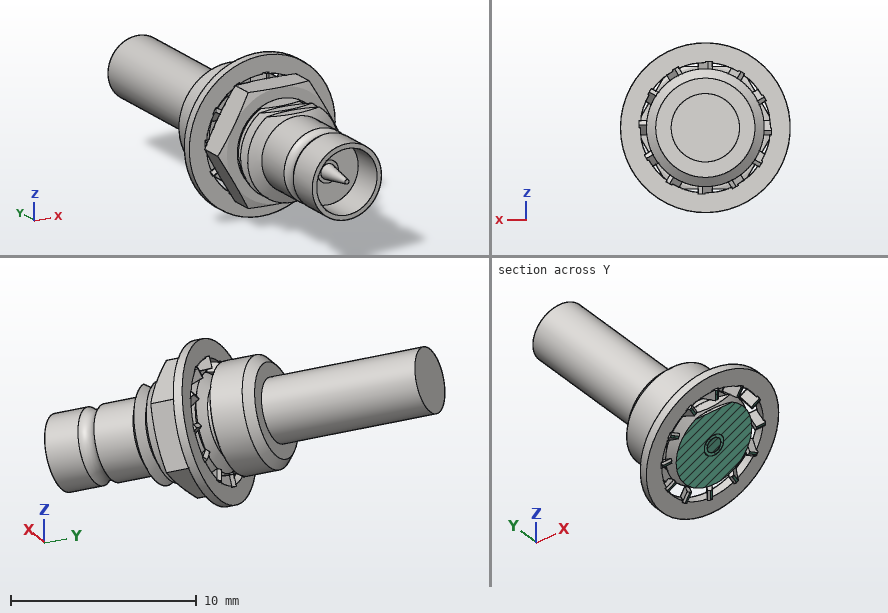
import cadquery as cq
import math


sleeve_radius = 2.17
socket_radius = 1.89
socket_depth = 1.98
groove_front = 2.0
groove_rear = 2.96
groove_bottom_radius = 1.95

thread_start = 5.30
thread_pitch = 0.745
thread_count = 6
thread_end = thread_start + thread_count * thread_pitch
thread_crest_radius = 2.83
thread_flat_height = 2.30

shoulder_radius = 2.57
shoulder_front = 10.15
collar_radius = 3.17
collar_front = 10.40
collar_rear = 12.83
collar_chamfer = 0.5
tube_radius = 1.84
total_length = 22.02

nut_front = 7.03
nut_rear = 8.68
nut_across_flats = 6.60
nut_corner_drop = 0.14
nut_bore_radius = 2.67

washer_radius = 4.57
washer_inner_radius = 3.50
washer_front = 8.89
washer_rear = 9.42
tooth_count = 12
tooth_inner_radius = 2.90
tooth_outer_radius = 3.57
tooth_width = 0.94
tooth_thickness = 0.28
tooth_twist = 55

pin_radius = 0.45
pin_tip_radius = 0.13
pin_tip_front = 0
insulator_radius = 0.65
insulator_rear = collar_front


def cylinder(radius, front, rear):
    """Solid cylinder on the Y axis between two Y positions."""
    return cq.Workplane("XZ", origin=(0, front, 0)).circle(radius).extrude(front - rear)


def make_housing():
    profile = (
        cq.Workplane("XY")
        .moveTo(0, 0)
        .lineTo(sleeve_radius, 0)
        .lineTo(sleeve_radius, groove_front)
        .threePointArc((groove_bottom_radius, (groove_front + groove_rear) / 2), (sleeve_radius, groove_rear))
        .lineTo(sleeve_radius, thread_start)
    )
    for turn in range(thread_count):
        ring_front = thread_start + turn * thread_pitch
        profile = (
            profile.lineTo(thread_crest_radius, ring_front + thread_pitch / 2)
            .lineTo(sleeve_radius, ring_front + thread_pitch)
        )
    profile = (
        profile.lineTo(sleeve_radius, shoulder_front)
        .lineTo(shoulder_radius, shoulder_front)
        .lineTo(shoulder_radius, collar_front)
        .lineTo(collar_radius, collar_front)
        .lineTo(collar_radius, collar_rear - collar_chamfer)
        .lineTo(collar_radius - collar_chamfer, collar_rear)
        .lineTo(tube_radius, collar_rear)
        .lineTo(tube_radius, total_length)
        .lineTo(0, total_length)
        .close()
    )
    body = profile.revolve(360, (0, 0, 0), (0, 1, 0))

    seat = cylinder(nut_bore_radius, nut_front, nut_rear)
    around_seat = cylinder(thread_crest_radius, nut_front, nut_rear).cut(seat)
    body = body.cut(around_seat).union(seat)

    above_flat = cq.Workplane("XY").box(
        2 * thread_crest_radius, thread_end - thread_start, thread_crest_radius, centered=(True, False, False)
    ).translate((0, thread_start, thread_flat_height))
    body = body.cut(above_flat)

    body = body.cut(cylinder(socket_radius, 0, socket_depth))
    return body.cut(cylinder(insulator_radius, socket_depth, insulator_rear))


def make_nut():
    corner_radius = nut_across_flats / 2 / math.cos(math.pi / 6)
    hexagon = (
        cq.Workplane("XZ", origin=(0, nut_front, 0))
        .polygon(6, 2 * corner_radius)
        .extrude(nut_front - nut_rear)
    )
    face_radius = nut_across_flats / 2
    turned_blank = (
        cq.Workplane("XY")
        .polyline([
            (0, nut_front),
            (face_radius, nut_front),
            (corner_radius, nut_front + nut_corner_drop),
            (corner_radius, nut_rear - nut_corner_drop),
            (face_radius, nut_rear),
            (0, nut_rear),
        ])
        .close()
        .revolve(360, (0, 0, 0), (0, 1, 0))
    )
    return hexagon.intersect(turned_blank).cut(cylinder(nut_bore_radius, nut_front, nut_rear))


def make_washer():
    ring = cylinder(washer_radius, washer_front, washer_rear)
    ring = ring.cut(cylinder(washer_inner_radius, washer_front, washer_rear))
    tooth = (
        cq.Workplane("XY")
        .box(tooth_outer_radius - tooth_inner_radius, tooth_thickness, tooth_width)
        .rotate((0, 0, 0), (1, 0, 0), 90 - tooth_twist)
        .rotate((0, 0, 0), (1, 0, 0), 90)
        .translate(((tooth_inner_radius + tooth_outer_radius) / 2, (washer_front + washer_rear) / 2, 0))
    )
    for index in range(tooth_count):
        ring = ring.union(tooth.rotate((0, 0, 0), (0, 1, 0), index * 360 / tooth_count))
    return ring


def make_insulator():
    tube = cylinder(insulator_radius, socket_depth, insulator_rear)
    return tube.cut(cylinder(pin_radius, socket_depth, insulator_rear))


def make_pin():
    return (
        cq.Workplane("XY")
        .polyline([
            (0, pin_tip_front),
            (pin_tip_radius, pin_tip_front),
            (pin_radius, socket_depth),
            (pin_radius, insulator_rear),
            (0, insulator_rear),
        ])
        .close()
        .revolve(360, (0, 0, 0), (0, 1, 0))
    )


housing = make_housing()
nut = make_nut()
washer = make_washer()
insulator = make_insulator()
pin = make_pin()

result = cq.Compound.makeCompound([
    housing.solids().val(),
    nut.solids().val(),
    washer.solids().val(),
    insulator.solids().val(),
    pin.solids().val(),
])